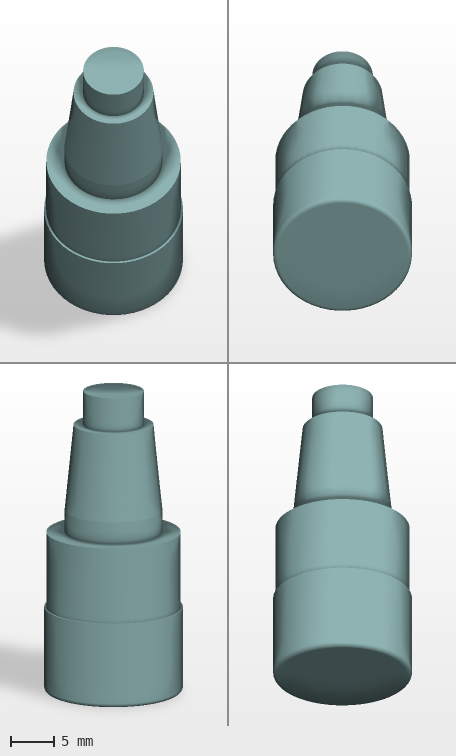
import cadquery as cq

TOTAL_HEIGHT = 35.7
CAP_TOP = 10.0
BARREL_TOP = 18.92
COLLAR_TOP = 21.5
TAPER_TOP = 31.7

CAP_DIAMETER = 16.0
BARREL_DIAMETER = 15.5
COLLAR_DIAMETER = 11.28
TAPER_TOP_DIAMETER = 9.2
CABLE_DIAMETER = 7.0

BOTTOM_FILLET = 0.5


def make_cap():
    """Plain round cap with a rounded bottom rim."""
    cap = cq.Workplane("XY").circle(CAP_DIAMETER / 2).extrude(CAP_TOP)
    return cap.faces("<Z").edges().fillet(BOTTOM_FILLET)


def make_plug_body():
    """Turned body: barrel, collar, tapered neck and cable stub."""
    barrel_radius = BARREL_DIAMETER / 2
    collar_radius = COLLAR_DIAMETER / 2
    taper_top_radius = TAPER_TOP_DIAMETER / 2
    cable_radius = CABLE_DIAMETER / 2
    half_profile = [
        (0, CAP_TOP),
        (barrel_radius, CAP_TOP),
        (barrel_radius, BARREL_TOP),
        (collar_radius, BARREL_TOP),
        (collar_radius, COLLAR_TOP),
        (taper_top_radius, TAPER_TOP),
        (cable_radius, TAPER_TOP),
        (cable_radius, TOTAL_HEIGHT),
        (0, TOTAL_HEIGHT),
    ]
    return cq.Workplane("XZ").polyline(half_profile).close().revolve(360, (0, 0, 0), (0, 1, 0))


cap = make_cap()
plug_body = make_plug_body()
result = cq.Compound.makeCompound([cap.val(), plug_body.val()])